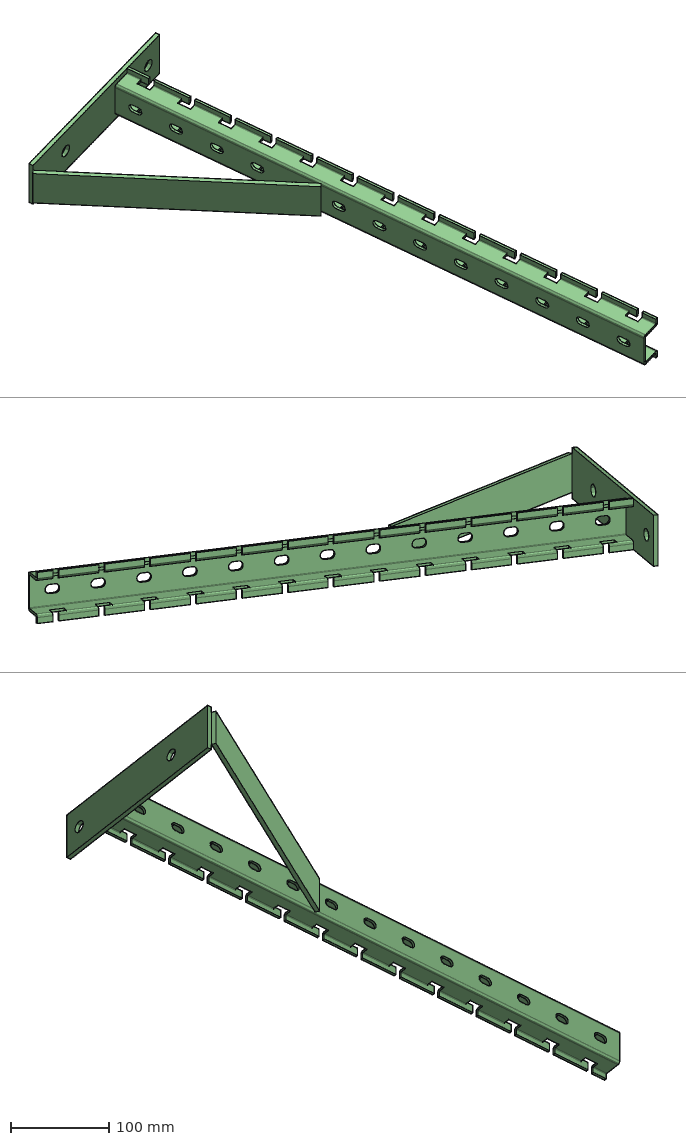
import cadquery as cq
import math

plate_thickness = 5.0
plate_length = 230.0
plate_height = 55.0
plate_hole_diameter = 13.0
plate_hole_end_distance = 20.0
plate_hole_spacing = 150.0

overall_length = 655.0
rail_length = overall_length - plate_thickness
rail_depth = 25.0
rail_front_y = -81.0
rail_back_y = rail_front_y + rail_depth
channel_width = 42.0
sheet = 2.95
inner_radius = 0.5
outer_radius = 2.95

opening_count = 13
opening_pitch = rail_length / opening_count
slot_length = 16.0
slot_width = 10.0
window_length = 16.0
window_depth = 7.0
throat_length = 6.5

brace_thickness = 5.0
brace_width = channel_width
brace_reach = 253.5


def make_plate():
    """Flat wall plate with two mounting holes."""
    plate = cq.Workplane("XY").box(
        plate_thickness, plate_length, plate_height, centered=(False, False, True)
    ).translate((0, -plate_length, 0))
    first_hole_y = -plate_hole_end_distance
    holes = (
        cq.Workplane("YZ")
        .pushPoints([(first_hole_y, 0), (first_hole_y - plate_hole_spacing, 0)])
        .circle(plate_hole_diameter / 2)
        .extrude(plate_thickness)
    )
    return plate.cut(holes)


def rail_block(front_y, back_y, half_height):
    """Block along the whole rail, symmetric about Z = 0."""
    return (
        cq.Workplane("YZ", origin=(plate_thickness, 0, 0))
        .rect(back_y - front_y, 2 * half_height)
        .extrude(rail_length)
        .translate((0, (front_y + back_y) / 2, 0))
    )


def edges_near(y, half_height):
    """Selector for the edges along X close to the given Y, at most half_height from mid-height."""
    return cq.selectors.BoxSelector(
        (0, y - inner_radius, -half_height - inner_radius),
        (overall_length, y + inner_radius, half_height + inner_radius),
    )


def make_hat_section():
    """Bent sheet: front web, two flanges, and two lips turned outwards at the back."""
    half_channel = channel_width / 2
    half_cavity = half_channel - sheet
    lip_front_y = rail_back_y - sheet

    channel = rail_block(rail_front_y, rail_back_y, half_channel)
    channel = channel.edges("|X and <Y").fillet(outer_radius)
    lips = rail_block(lip_front_y, rail_back_y, plate_height / 2)
    hat = channel.union(lips)
    hat = hat.edges("|X").edges(edges_near(lip_front_y, half_channel)).fillet(inner_radius)

    cavity = rail_block(rail_front_y + sheet, rail_back_y, half_cavity)
    cavity = cavity.edges("|X and <Y").fillet(inner_radius)
    hat = hat.cut(cavity)
    return hat.edges("|X").edges(edges_near(rail_back_y, half_cavity)).fillet(outer_radius)


def make_web_slot(center_x):
    """Obround hole through the web."""
    return (
        cq.Workplane("XZ", origin=(center_x, rail_front_y + sheet, 0))
        .slot2D(slot_length, slot_width)
        .extrude(sheet)
    )


def make_hook_cut(center_x):
    """L-shaped cut through both flanges and lips: a window under the lip with a throat at its +X end."""
    right = center_x + window_length / 2
    left = center_x - window_length / 2
    throat_left = right - throat_length
    lip_front_y = rail_back_y - sheet
    window_front_y = lip_front_y - window_depth
    outline = [
        (left, window_front_y),
        (right, window_front_y),
        (right, rail_back_y),
        (throat_left, rail_back_y),
        (throat_left, lip_front_y),
        (left, lip_front_y),
    ]
    return cq.Workplane("XY").polyline(outline).close().extrude(plate_height / 2, both=True)


def make_rail():
    """Hat section with a web slot and a hook cut at every pitch."""
    rail = make_hat_section()
    for index in range(opening_count):
        center_x = plate_thickness + (index + 0.5) * opening_pitch
        rail = rail.cut(make_web_slot(center_x)).cut(make_hook_cut(center_x))
    return rail


def make_brace():
    """Flat bar from the lower end of the plate up to the rail web."""
    rise = rail_front_y + plate_length
    angle = math.atan2(rise, brace_reach)
    length = math.hypot(rise, brace_reach)
    return (
        cq.Workplane("XY")
        .box(length, brace_thickness, brace_width, centered=(False, False, True))
        .translate((0, -brace_thickness, 0))
        .rotate((0, 0, 0), (0, 0, 1), math.degrees(angle))
        .translate((plate_thickness, -plate_length, 0))
    )


plate = make_plate()
rail = make_rail()
brace = make_brace()

result = cq.Compound.makeCompound([plate.solids().val(), rail.solids().val(), brace.val()])